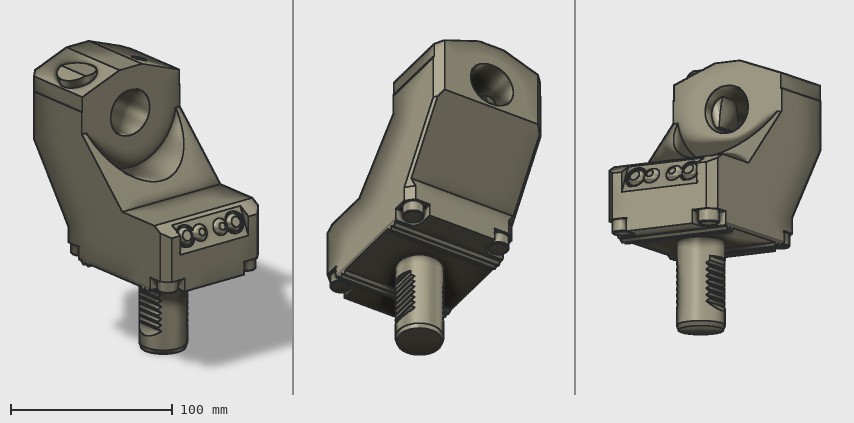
import cadquery as cq
import math


WIDTH = 78.0
HALF_WIDTH = WIDTH / 2
BASE_HALF_LENGTH = 50.0
BASE_TOP = 44.3
BASE_BEVEL_RUN = 10.8
BASE_BEVEL_DROP = 6.3
HEAD_LEFT = -84.0
HEAD_RIGHT = -31.8
HEAD_TOP = 119.2
HEAD_LEFT_BOTTOM = 72.0
HEAD_RIGHT_BOTTOM = 84.0
NECK_BOTTOM = 23.6
CORNER_CHAMFER = 5.0
NECK_CHAMFER = 2.0

ROOF_FLAT_HALF = 9.0
ROOF_ANGLE = 20.0
HEAD_INSET = 0.44
HEAD_INSET_BOTTOM = 98.5
BORE_DIAMETER = 30.0
BORE_Z = 89.2
BORE_RELIEF = 1.0
CLEARANCE_RADIUS = 36.0
SIDE_HOLE_DIAMETER = 9.0
SIDE_HOLE_X = -49.9
SIDE_HOLE_Y = 21.0
SIDE_HOLE_FLOOR = 112.5

BOLT_DIAMETER = 24.3
BOLT_X = -52.0
BOLT_Y = -27.5
BOLT_Z = 118.5
BOLT_LENGTH = 41.3
BOLT_TOP = 117.8
BOLT_FLAT_Y = -10.8

RIM_STEP = 0.4
TOOTH_PITCH = 4.0
TOOTH_HEIGHT = 2.1
TOOTH_TIP = 0.9
TOOTH_PAIR_X = 29.0
SIDE_BEVEL_TOP = 2.1
SIDE_BEVEL_INSET = 1.0

SCREW_DIAMETER = 13.0
SCREW_X = 42.4
SCREW_Y = 31.0
SCREW_BOTTOM = 0.9
SCREW_CHAMFER = 0.7
POCKET_LENGTH = 15.0
POCKET_WIDTH = 15.4
POCKET_TOP = 9.0
POCKET_CORNER_RADIUS = 7.0

SEAT_HALF_WIDTH = 27.1
SEAT_X = 42.0
SEAT_ANGLE = 65.0
NOZZLE_DIAMETER = 13.0
NOZZLE_SOCKET_DIAMETER = 14.0
NOZZLE_SOCKET_DEPTH = 0.9
OUTER_NOZZLE = (19.5, 8.8, 1.8, 6.6)
INNER_NOZZLE = (8.0, 9.1, 2.5, 4.5)

SHANK_DIAMETER = 30.0
SHANK_LENGTH = 55.8
SHANK_CHAMFER_HEIGHT = 3.0
SHANK_CHAMFER_INSET = 1.0
RACK_TOP = -11.5
RACK_FLAT_Y = 11.9
RACK_ROOT_Y = 10.3
RACK_FIRST_ROOT = -16.3
RACK_PITCH = 4.0
RACK_ROOTS = 7
RACK_HALF_GAP = 1.8
RACK_RUNOUT = 4.5

MARGIN = 35.0


def box(x_range, y_range, z_range):
    size = [high - low for low, high in (x_range, y_range, z_range)]
    corner = (x_range[0], y_range[0], z_range[0])
    return cq.Workplane("XY").box(*size, centered=False).translate(corner)


def prism_along_x(points, x_start, x_end):
    """Prism from (Y, Z) points."""
    plane = cq.Workplane("YZ", origin=(x_start, 0, 0))
    return plane.polyline(points).close().extrude(x_end - x_start)


def prism_along_y(points, length):
    """Prism from (X, Z) points, centred on Y = 0."""
    return cq.Workplane("XZ").polyline(points).close().extrude(length / 2, both=True)


def both_sides(shape):
    return shape.union(shape.mirror("XZ"))


def both_ends(shape):
    return shape.union(shape.mirror("YZ"))


def oblique_cutter(points, x_direction):
    """Cutter swept inward at 45 degrees from (X, Z) points on the -Y side."""
    wire = cq.Wire.makePolygon([cq.Vector(x, -HALF_WIDTH, z) for x, z in points], close=True)
    sweep = cq.Vector(x_direction * MARGIN, MARGIN, 0)
    return cq.Workplane(obj=cq.Solid.extrudeLinear(wire, [], sweep))


def make_block():
    slope_run = HEAD_RIGHT_BOTTOM - BASE_TOP
    outline = [
        (-BASE_HALF_LENGTH, 0),
        (-BASE_HALF_LENGTH, NECK_BOTTOM),
        (HEAD_LEFT, HEAD_LEFT_BOTTOM),
        (HEAD_LEFT, HEAD_TOP),
        (HEAD_RIGHT, HEAD_TOP),
        (HEAD_RIGHT, HEAD_RIGHT_BOTTOM),
        (HEAD_RIGHT + slope_run, BASE_TOP),
        (BASE_HALF_LENGTH - BASE_BEVEL_RUN, BASE_TOP),
        (BASE_HALF_LENGTH, BASE_TOP - BASE_BEVEL_DROP),
        (BASE_HALF_LENGTH, 0),
    ]
    return prism_along_y(outline, WIDTH)


def make_corner_chamfers():
    neck_slope = (HEAD_LEFT_BOTTOM - NECK_BOTTOM) / (-BASE_HALF_LENGTH - HEAD_LEFT)
    edge_drop = (CORNER_CHAMFER - NECK_CHAMFER) * neck_slope
    head_edge = HEAD_LEFT + CORNER_CHAMFER
    base_edge = BASE_HALF_LENGTH - CORNER_CHAMFER
    low = -MARGIN
    high = HEAD_TOP + MARGIN
    left_points = [
        (-base_edge, low),
        (-base_edge, NECK_BOTTOM - edge_drop),
        (head_edge, HEAD_LEFT_BOTTOM - edge_drop),
        (head_edge, high),
        (HEAD_LEFT - MARGIN, high),
        (HEAD_LEFT - MARGIN, low),
    ]
    right_far = BASE_HALF_LENGTH + MARGIN
    right_points = [(base_edge, low), (base_edge, high), (right_far, high), (right_far, low)]
    cutters = oblique_cutter(left_points, -1).union(oblique_cutter(right_points, 1))
    return both_sides(cutters)


def make_roof_cutters():
    far = HALF_WIDTH + MARGIN
    drop = (far - ROOF_FLAT_HALF) * math.tan(math.radians(ROOF_ANGLE))
    points = [(ROOF_FLAT_HALF, HEAD_TOP), (far, HEAD_TOP - drop), (far, HEAD_TOP)]
    slope = prism_along_x(points, HEAD_LEFT, HEAD_RIGHT)
    inset = box(
        (HEAD_LEFT, HEAD_RIGHT),
        (HALF_WIDTH - HEAD_INSET, HALF_WIDTH),
        (HEAD_INSET_BOTTOM, HEAD_TOP),
    )
    return both_sides(slope.union(inset))


def make_bores():
    length = HEAD_RIGHT - HEAD_LEFT
    bore = cq.Workplane("YZ", origin=(HEAD_LEFT, 0, BORE_Z)).circle(BORE_DIAMETER / 2).extrude(length)
    relief = bore.translate((0, -BORE_RELIEF, 0))
    clearance = (
        cq.Workplane("YZ", origin=(HEAD_RIGHT, 0, BORE_Z))
        .circle(CLEARANCE_RADIUS)
        .extrude(BASE_HALF_LENGTH - HEAD_RIGHT)
    )
    return bore.union(relief).union(clearance)


def make_side_hole():
    plane = cq.Workplane("XY", origin=(SIDE_HOLE_X, SIDE_HOLE_Y, SIDE_HOLE_FLOOR))
    return plane.circle(SIDE_HOLE_DIAMETER / 2).extrude(HEAD_TOP - SIDE_HOLE_FLOOR)


def make_clamp_bolt():
    tilt = math.radians(ROOF_ANGLE)
    plane = cq.Plane(
        origin=(BOLT_X, BOLT_Y, BOLT_Z),
        xDir=(1, 0, 0),
        normal=(0, math.sin(tilt), -math.cos(tilt)),
    )
    bolt = cq.Workplane(plane).circle(BOLT_DIAMETER / 2).extrude(BOLT_LENGTH)
    x_range = (HEAD_LEFT, HEAD_RIGHT)
    y_all = (-HALF_WIDTH - MARGIN, HALF_WIDTH + MARGIN)
    above = box(x_range, y_all, (BOLT_TOP, HEAD_TOP + MARGIN))
    bore_top = BORE_Z + BORE_DIAMETER / 2
    clamp_flat = box(x_range, (BOLT_FLAT_Y, HALF_WIDTH), (0, bore_top))
    return bolt.cut(above).cut(clamp_flat)


def make_serration():
    """Two teeth along Y under each end of the block."""
    half_tip = TOOTH_TIP / 2
    teeth = cq.Workplane("XY")
    for center in (TOOTH_PAIR_X - TOOTH_PITCH / 2, TOOTH_PAIR_X + TOOTH_PITCH / 2):
        points = [
            (center - TOOTH_PITCH / 2, RIM_STEP),
            (center - TOOTH_PITCH / 2, 0),
            (center - half_tip, -TOOTH_HEIGHT),
            (center + half_tip, -TOOTH_HEIGHT),
            (center + TOOTH_PITCH / 2, 0),
            (center + TOOTH_PITCH / 2, RIM_STEP),
        ]
        teeth = teeth.union(prism_along_y(points, WIDTH))
    return both_ends(teeth)


def make_underside_cutters():
    rim_start = TOOTH_PAIR_X + TOOTH_PITCH
    rim = both_ends(box((rim_start, BASE_HALF_LENGTH), (-HALF_WIDTH, HALF_WIDTH), (0, RIM_STEP)))
    bevel_points = [
        (HALF_WIDTH, SIDE_BEVEL_TOP),
        (HALF_WIDTH - SIDE_BEVEL_INSET, -TOOTH_HEIGHT),
        (HALF_WIDTH, -TOOTH_HEIGHT),
    ]
    bevel = prism_along_x(bevel_points, -BASE_HALF_LENGTH, BASE_HALF_LENGTH)
    return rim.union(both_sides(bevel))


def make_corner_pockets():
    pocket = box(
        (BASE_HALF_LENGTH - POCKET_LENGTH, BASE_HALF_LENGTH),
        (HALF_WIDTH - POCKET_WIDTH, HALF_WIDTH),
        (0, POCKET_TOP),
    )
    pocket = pocket.edges("|Z and <X and <Y").fillet(POCKET_CORNER_RADIUS)
    return both_sides(both_ends(pocket))


def make_corner_screws():
    screw = (
        cq.Workplane("XY", origin=(SCREW_X, SCREW_Y, SCREW_BOTTOM))
        .circle(SCREW_DIAMETER / 2)
        .extrude(POCKET_TOP - SCREW_BOTTOM)
        .faces("<Z")
        .chamfer(SCREW_CHAMFER)
    )
    return both_sides(both_ends(screw))


def seat_top_z():
    bevel_start = BASE_HALF_LENGTH - BASE_BEVEL_RUN
    return BASE_TOP - (SEAT_X - bevel_start) * BASE_BEVEL_DROP / BASE_BEVEL_RUN


def seat_plane(y, down):
    """Plane on the nozzle seat, facing out, at a distance down its slope."""
    tilt = math.radians(SEAT_ANGLE)
    origin = (SEAT_X + down * math.cos(tilt), y, seat_top_z() - down * math.sin(tilt))
    return cq.Plane(origin=origin, xDir=(0, 1, 0), normal=(math.sin(tilt), 0, math.cos(tilt)))


def make_nozzle_seat():
    run = BASE_HALF_LENGTH - SEAT_X
    foot = seat_top_z() - run * math.tan(math.radians(SEAT_ANGLE))
    points = [
        (SEAT_X, BASE_TOP),
        (SEAT_X, seat_top_z()),
        (BASE_HALF_LENGTH, foot),
        (BASE_HALF_LENGTH, BASE_TOP),
    ]
    seat = prism_along_y(points, 2 * SEAT_HALF_WIDTH)
    y, down = OUTER_NOZZLE[:2]
    socket = (
        cq.Workplane(seat_plane(y, down))
        .circle(NOZZLE_SOCKET_DIAMETER / 2)
        .extrude(-NOZZLE_SOCKET_DEPTH)
    )
    return seat.union(both_sides(socket))


def make_nozzle(y, down, tip_height, tip_diameter):
    """Ball with its tip cut flat, parallel to the seat."""
    radius = NOZZLE_DIAMETER / 2
    center_height = tip_height - math.sqrt(radius ** 2 - (tip_diameter / 2) ** 2)
    plane = cq.Workplane(seat_plane(y, down))
    ball = plane.workplane(offset=center_height).sphere(radius)
    tip = plane.workplane(offset=tip_height).circle(radius).extrude(radius)
    return ball.cut(tip)


def make_nozzles():
    return both_sides(make_nozzle(*OUTER_NOZZLE).union(make_nozzle(*INNER_NOZZLE)))


def make_rack_cutter():
    """Toothed flat on the +Y side of the shank."""
    outside = SHANK_DIAMETER / 2 + MARGIN
    points = [(outside, RACK_TOP), (RACK_FLAT_Y, RACK_TOP)]
    for index in range(RACK_ROOTS):
        root = RACK_FIRST_ROOT - index * RACK_PITCH
        if index > 0:
            points.append((RACK_FLAT_Y, root + RACK_PITCH - RACK_HALF_GAP))
        points.append((RACK_FLAT_Y, root + RACK_HALF_GAP))
        points.append((RACK_ROOT_Y, root))
    last_root = points[-1][1]
    surface_run = SHANK_DIAMETER / 2 - RACK_ROOT_Y
    runout_slope = RACK_RUNOUT / surface_run
    points.append((outside, last_root - runout_slope * (outside - RACK_ROOT_Y)))
    return prism_along_x(points, -SHANK_DIAMETER / 2, SHANK_DIAMETER / 2)


def make_shank():
    radius = SHANK_DIAMETER / 2
    profile = [
        (0, 0),
        (radius, 0),
        (radius, SHANK_CHAMFER_HEIGHT - SHANK_LENGTH),
        (radius - SHANK_CHAMFER_INSET, -SHANK_LENGTH),
        (0, -SHANK_LENGTH),
    ]
    shank = cq.Workplane("XZ").polyline(profile).close().revolve(360, (0, 0, 0), (0, 1, 0))
    return shank.cut(both_sides(make_rack_cutter()))


block = make_block().union(make_serration())
block = block.cut(make_corner_chamfers())
block = block.cut(make_roof_cutters())
block = block.cut(make_bores())
block = block.cut(make_side_hole())
block = block.cut(make_underside_cutters())
block = block.cut(make_corner_pockets())
block = block.cut(make_nozzle_seat())

result = (
    block.union(make_clamp_bolt())
    .union(make_corner_screws())
    .union(make_nozzles())
    .union(make_shank())
)